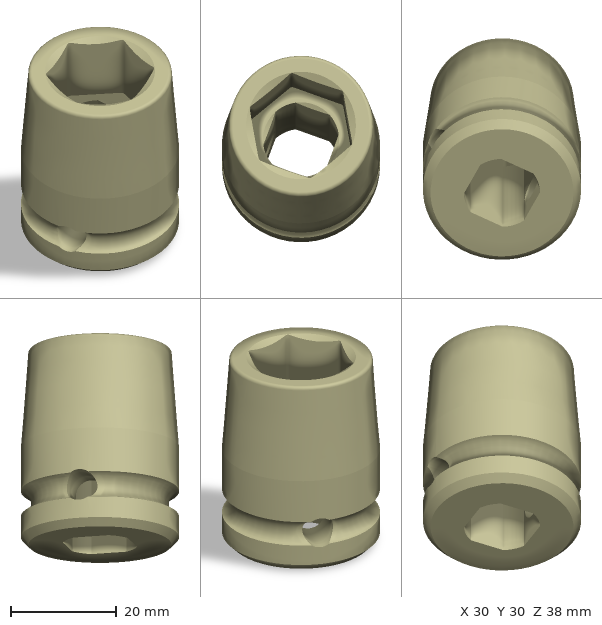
import cadquery as cq
import math

height = 38.0
body_diameter = 30.0
body_radius = body_diameter / 2
base_chamfer = 1.45
taper_start = 19.0
nose_radius = 13.55
nose_fillet = 0.7

groove_height = 7.98
groove_width = 4.95
groove_depth = 1.95
pin_diameter = 6.0

hex_sides = 6
hex_flats = 18.0
hex_depth = 13.1
hex_corner_fillet = 0.75
lead_in_angle = 30.0

drive_size = 12.73
drive_circle_radius = 7.22
drive_depth = height - hex_depth

hex_corner_diameter = hex_flats / math.cos(math.radians(180 / hex_sides))


def make_body():
    """Revolved outside shape with the rounded groove."""
    groove_bottom = groove_height - groove_width / 2
    groove_top = groove_height + groove_width / 2
    profile = (
        cq.Workplane("XZ")
        .lineTo(body_radius - base_chamfer, 0)
        .lineTo(body_radius, base_chamfer)
        .lineTo(body_radius, groove_bottom)
        .threePointArc((body_radius - groove_depth, groove_height), (body_radius, groove_top))
        .lineTo(body_radius, taper_start)
        .lineTo(nose_radius, height)
        .lineTo(0, height)
        .close()
    )
    body = profile.revolve(360, (0, 0, 0), (0, 1, 0))
    return body.faces(">Z").edges().fillet(nose_fillet)


def make_hex_socket():
    """Hexagonal pocket cut from the top."""
    return (
        cq.Workplane("XY", origin=(0, 0, height - hex_depth))
        .transformed(rotate=(0, 0, 90))
        .polygon(hex_sides, hex_corner_diameter)
        .extrude(hex_depth)
        .edges("|Z")
        .fillet(hex_corner_fillet)
    )


def make_lead_in(radius, top):
    """Cone with its point down, used to countersink an opening at height top."""
    depth = radius * math.tan(math.radians(lead_in_angle))
    return (
        cq.Workplane("XZ", origin=(0, 0, top))
        .lineTo(radius, 0)
        .lineTo(0, -depth)
        .close()
        .revolve(360, (0, 0, 0), (0, 1, 0))
    )


def make_drive():
    """Square drive from the bottom up to the socket floor, with rounded corners."""
    square = cq.Workplane("XY").rect(drive_size, drive_size).extrude(drive_depth)
    bore = cq.Workplane("XY").circle(drive_circle_radius).extrude(drive_depth)
    return square.intersect(bore)


def make_pin_hole():
    """Cross hole through both walls along Y."""
    return (
        cq.Workplane("XZ", origin=(0, 0, groove_height))
        .circle(pin_diameter / 2)
        .extrude(body_radius, both=True)
    )


result = (
    make_body()
    .cut(make_hex_socket())
    .cut(make_lead_in(hex_corner_diameter / 2, height))
    .cut(make_drive())
    .cut(make_lead_in(drive_circle_radius, drive_depth))
    .cut(make_pin_hole())
)